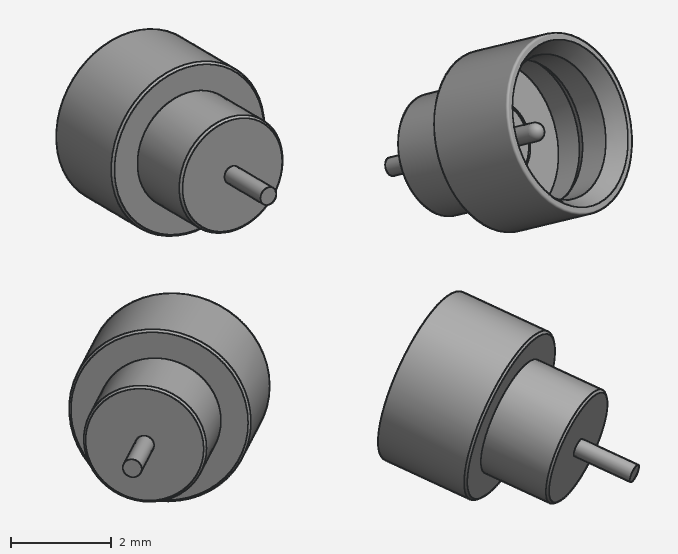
import cadquery as cq

TOTAL_LENGTH = 4.83

HEAD_RADIUS = 3.685 / 2
HEAD_LENGTH = 2.03
NECK_RADIUS = 2.487 / 2
NECK_END = 3.555
EDGE_SIZE = 0.05

MOUTH_RADIUS = 3.39 / 2
BORE_RADIUS = 2.945 / 2
CHAMBER_RADIUS = 3.165 / 2
MOUTH_DEPTH = 0.395
SHOULDER_START = 1.025
SHOULDER_END = 1.21
FLOOR_DEPTH = 1.777
INSULATOR_RADIUS = 1.525 / 2
INSULATOR_RECESS = 0.05

PIN_RADIUS = 0.38 / 2
PIN_TIP = 0.765


def make_body():
    """Revolve the stepped shell, with the socket open toward -X."""
    profile = (
        cq.Workplane("XY")
        .moveTo(FLOOR_DEPTH + INSULATOR_RECESS, 0)
        .lineTo(FLOOR_DEPTH + INSULATOR_RECESS, INSULATOR_RADIUS)
        .lineTo(FLOOR_DEPTH, INSULATOR_RADIUS)
        .lineTo(FLOOR_DEPTH, CHAMBER_RADIUS)
        .lineTo(SHOULDER_END, CHAMBER_RADIUS)
        .lineTo(SHOULDER_START, BORE_RADIUS)
        .lineTo(MOUTH_DEPTH, BORE_RADIUS)
        .lineTo(0, MOUTH_RADIUS)
        .lineTo(0, HEAD_RADIUS - EDGE_SIZE)
        .radiusArc((EDGE_SIZE, HEAD_RADIUS), EDGE_SIZE)
        .lineTo(HEAD_LENGTH - EDGE_SIZE, HEAD_RADIUS)
        .lineTo(HEAD_LENGTH, HEAD_RADIUS - EDGE_SIZE)
        .lineTo(HEAD_LENGTH, NECK_RADIUS)
        .lineTo(NECK_END - EDGE_SIZE, NECK_RADIUS)
        .lineTo(NECK_END, NECK_RADIUS - EDGE_SIZE)
        .lineTo(NECK_END, 0)
        .close()
    )
    return profile.revolve(360, (0, 0, 0), (1, 0, 0))


def make_pin():
    """Revolve the pin, from its round tip to its flat tail."""
    profile = (
        cq.Workplane("XY")
        .moveTo(PIN_TIP, 0)
        .radiusArc((PIN_TIP + PIN_RADIUS, PIN_RADIUS), PIN_RADIUS)
        .lineTo(TOTAL_LENGTH, PIN_RADIUS)
        .lineTo(TOTAL_LENGTH, 0)
        .close()
    )
    return profile.revolve(360, (0, 0, 0), (1, 0, 0))


result = make_body().union(make_pin())